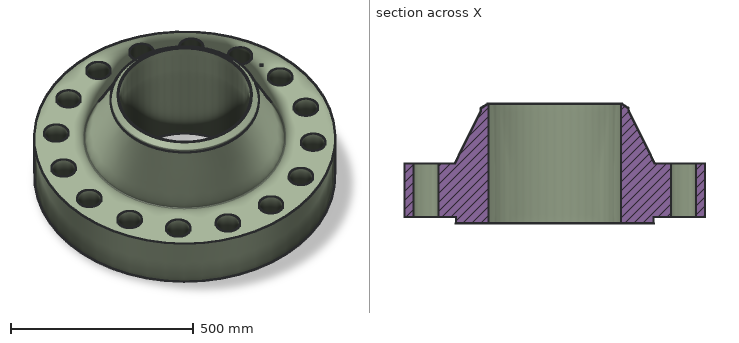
import cadquery as cq
import math

flange_diameter = 825.0
flange_thickness = 147.0
face_diameter = 545.0
face_height = 17.0

overall_height = 328.5
bore_diameter = 363.0
hub_base_diameter = 550.0
hub_base_fillet = 3.0
neck_diameter = 407.0
neck_straight_height = 7.0
bevel_height = 13.0
bevel_fillet = 3.0
weld_lip_width = 2.5

bolt_count = 16
bolt_circle_diameter = 705.0
bolt_hole_diameter = 67.0

pin_hole_diameter = 6.0
pin_hole_depth = 25.0
countersink_diameter = 12.0
countersink_depth = 1.0
bolt_pitch_angle = 360 / bolt_count
pin_hole_angle = 90 + bolt_pitch_angle / 2

flange_top = face_height + flange_thickness
bevel_bottom = overall_height - bevel_height
cone_top = bevel_bottom - neck_straight_height

selection_margin = 1.0


def round_circle(body, circle_radius, level, fillet_radius):
    """Fillet the circular edge of the given radius at the given level."""
    reach = circle_radius + selection_margin
    edge = cq.selectors.BoxSelector(
        (-reach, -reach, level - selection_margin),
        (reach, reach, level + selection_margin),
        boundingbox=True,
    )
    return body.edges(edge).fillet(fillet_radius)


def make_body():
    """Revolve the half section of the bored flange about Z."""
    bore_radius = bore_diameter / 2
    face_radius = face_diameter / 2
    flange_radius = flange_diameter / 2
    neck_radius = neck_diameter / 2
    section = [
        (bore_radius, 0),
        (face_radius, 0),
        (face_radius, face_height),
        (flange_radius, face_height),
        (flange_radius, flange_top),
        (hub_base_diameter / 2, flange_top),
        (neck_radius, cone_top),
        (neck_radius, bevel_bottom),
        (bore_radius + weld_lip_width, overall_height),
        (bore_radius, overall_height),
    ]
    body = cq.Workplane("XZ").polyline(section).close().revolve(360, (0, 0), (0, 1))
    body = round_circle(body, hub_base_diameter / 2, flange_top, hub_base_fillet)
    return round_circle(body, neck_radius, bevel_bottom, bevel_fillet)


def drill_bolt_holes(body):
    """Drill the ring of through holes in the flange plate."""
    holes = (
        cq.Workplane("XY")
        .polarArray(bolt_circle_diameter / 2, 0, 360, bolt_count)
        .circle(bolt_hole_diameter / 2)
        .extrude(flange_top)
    )
    return body.cut(holes)


def drill_pin_hole(body):
    """Drill the small countersunk blind hole down from the top of the flange plate."""
    angle = math.radians(pin_hole_angle)
    radius = bolt_circle_diameter / 2
    mouth = cq.Vector(radius * math.cos(angle), radius * math.sin(angle), flange_top)
    down = cq.Vector(0, 0, -1)
    hole = cq.Solid.makeCylinder(pin_hole_diameter / 2, pin_hole_depth, mouth, down)
    countersink = cq.Solid.makeCone(
        countersink_diameter / 2, pin_hole_diameter / 2, countersink_depth, mouth, down
    )
    return body.cut(cq.Workplane(obj=hole)).cut(cq.Workplane(obj=countersink))


result = drill_pin_hole(drill_bolt_holes(make_body()))